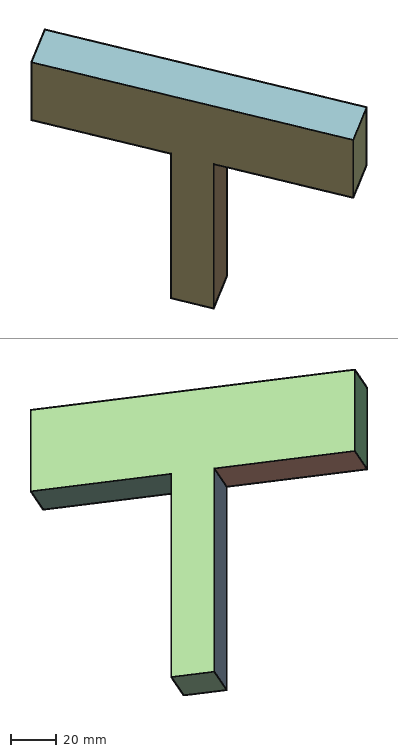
import cadquery as cq

head_length = 150.0
thickness = 20.0
total_height = 140.0

head_height = 40.0
stem_width = thickness
stem_height = total_height - head_height

stem = cq.Workplane("XY").box(
    stem_width, thickness, stem_height, centered=(True, True, False)
)

head = (
    cq.Workplane("XY")
    .workplane(offset=stem_height)
    .box(head_length, thickness, head_height, centered=(True, True, False))
)

result = stem.union(head)